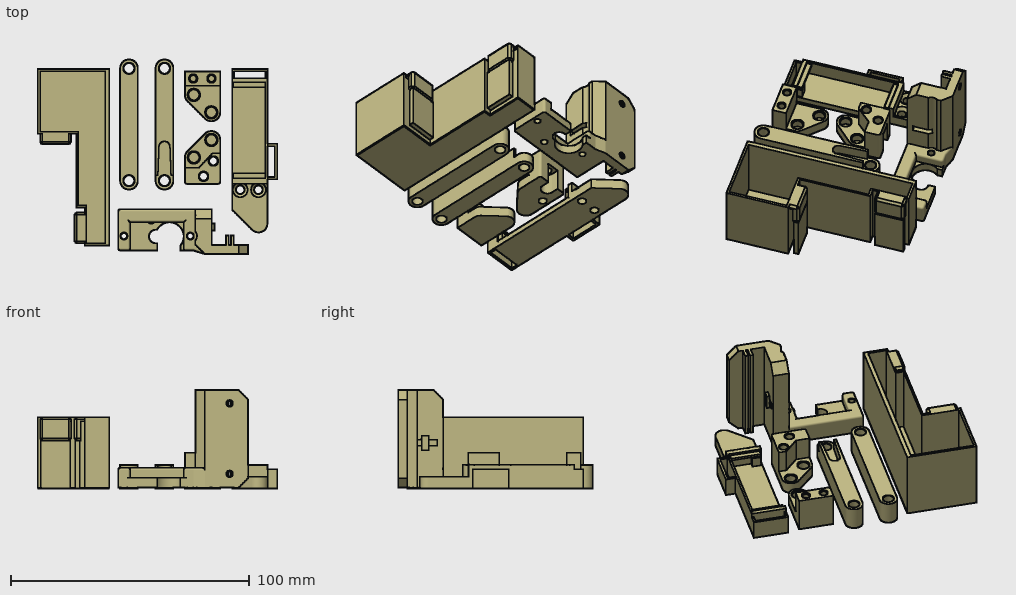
import cadquery as cq
import math

corner_radius = 3.76
part_width = 2 * corner_radius
plate_height = 5
pivot_hole = 4.5
screw_hole = 3.5
diagonal = corner_radius * math.sqrt(0.5)


def block(x0, x1, y0, y1, z0, z1):
    """Axis-aligned block between the given limits."""
    return cq.Workplane("XY").box(x1 - x0, y1 - y0, z1 - z0, centered=False).translate((x0, y0, z0))


def chamfered_bore(x, y, top, bottom, diameter, rim):
    """Cutter for a vertical hole whose top rim is widened by a 45 degree chamfer."""
    radius = diameter / 2
    section = [(0, bottom), (radius, bottom), (radius, top - rim), (radius + rim, top), (0, top)]
    return cq.Workplane("XZ").polyline(section).close().revolve(360, (0, 0), (0, 1)).translate((x, y, 0))


box_height = 30.0
box_right = 30.0
box_front = 3.6
box_back = 77.6
box_step_y = 50.4
box_waist_x = 16.3
box_notch_x = 19.7
box_notch_y = 19.5
box_wall = 1
box_waist_wall = 0.7
box_right_wall = 1.8
box_floor = 1
box_foot_chamfer = 0.3

hook_plate_length = 12.4
hook_plate_height = 20.1
hook_plate_outer = 4
hook_plate_thickness = 2
hook_cap_lip = 0.3
hook_cap_chamfer = 1
hook_cap_gap = 1.7
hook_bridge = 1.7
wide_hook_center_x = 7.5
low_hook_center_y = 11


def make_hook():
    """Hook on a wall at y = 0 that faces -Y, centred on x = 0."""
    plate_half = hook_plate_length / 2
    plate_inner = hook_plate_outer - hook_plate_thickness
    plate = block(-plate_half, plate_half, -hook_plate_outer, -plate_inner, 0, hook_plate_height)
    cap_half = plate_half + hook_cap_lip
    cap = block(-cap_half, cap_half, -hook_plate_outer - hook_cap_lip, 0, hook_plate_height, box_height)
    cap = cap.edges("<Y or (|Y and <X) or (|Y and >X)").chamfer(hook_cap_chamfer)
    gap = block(-cap_half, cap_half, -hook_cap_gap, 0, 0, box_height - hook_bridge)
    return plate.union(cap.cut(gap))


def make_box():
    outline = [
        (0, box_back),
        (box_right, box_back),
        (box_right, box_front),
        (box_notch_x, box_front),
        (box_notch_x, box_notch_y),
        (box_waist_x, box_notch_y),
        (box_waist_x, box_step_y),
        (0, box_step_y),
    ]
    inner_waist_x = box_waist_x + box_waist_wall
    inner_notch_x = box_notch_x + box_waist_wall
    inner_right = box_right - box_right_wall
    cavity_outline = [
        (box_wall, box_back - box_wall),
        (inner_right, box_back - box_wall),
        (inner_right, box_front + box_wall),
        (inner_notch_x, box_front + box_wall),
        (inner_notch_x, box_notch_y + box_wall),
        (inner_waist_x, box_notch_y + box_wall),
        (inner_waist_x, box_step_y + box_wall),
        (box_wall, box_step_y + box_wall),
    ]
    shell = cq.Workplane("XY").polyline(outline).close().extrude(box_height)
    shell = shell.faces("<Z").edges().chamfer(box_foot_chamfer)
    cavity = cq.Workplane("XY").workplane(offset=box_floor).polyline(cavity_outline).close()
    shell = shell.cut(cavity.extrude(box_height))
    wide_hook = make_hook().translate((wide_hook_center_x, box_step_y, 0))
    low_hook = make_hook().rotate((0, 0, 0), (0, 0, 1), -90).translate((box_notch_x, low_hook_center_y, 0))
    return shell.union(wide_hook).union(low_hook)


link_height = 9.9
link_front_y = 30.8
link_back_y = 77.82
link_hole = 4.4
link_hole_rim = 0.2
plain_link_x = 38.2
recessed_link_x = 53.1
recess_floor = link_height / 2
recess_step_y = 33.1
recess_end_y = 45.0
recess_end_radius = 2.3
recess_mouth_width = 5.5


def make_link(x):
    """Bar with rounded ends and a hole at each end."""
    length = link_back_y - link_front_y
    middle_y = (link_back_y + link_front_y) / 2
    link = cq.Workplane("XY").center(x, middle_y).slot2D(length + part_width, part_width, 90)
    link = link.extrude(link_height)
    for y in (link_front_y, link_back_y):
        link = link.cut(chamfered_bore(x, y, link_height, 0, link_hole, link_hole_rim))
    return link


def make_recessed_link():
    """Link with a halved front end and a tapered recess running into its top."""
    x = recessed_link_x
    half_step = block(x - part_width, x + part_width, 0, recess_step_y, recess_floor, link_height)
    recess = (
        cq.Workplane("XY")
        .workplane(offset=recess_floor)
        .moveTo(x - recess_mouth_width / 2, recess_step_y)
        .lineTo(x + recess_mouth_width / 2, recess_step_y)
        .lineTo(x + recess_end_radius, recess_end_y)
        .threePointArc((x, recess_end_y + recess_end_radius), (x - recess_end_radius, recess_end_y))
        .close()
        .extrude(link_height)
    )
    link = make_link(x).cut(half_step).cut(recess)
    return link.cut(chamfered_bore(x, link_front_y, recess_floor, 0, link_hole, link_hole_rim))


bracket_left = 61.6
bracket_width = 14.9
bracket_right = bracket_left + bracket_width
bracket_height = 15.1
pivot_left_x = bracket_left + corner_radius
pivot_right_x = bracket_right - corner_radius
pivot_spacing = pivot_right_x - pivot_left_x
pivot_rim = 0.4
pivot_floor = 1

rear_tip_y = 59.4
rear_block_front = 70.5
rear_block_back = 76.6
rear_screw_y = 73.6
rear_screw_x = (65.1, 72.8)
rear_screw_hole = 2.8
rear_screw_depth = 10

front_tip_y = 47.9
front_block_front = 29.4
front_block_step_y = 36.1
front_block_back = 42.3
front_block_diagonal = ((67.4, front_block_step_y), (73.3, front_block_back))
front_screws = ((73.6, 39.0), (69.4, 32.6))
front_screw_rim = 0.3
front_corner_radius = 1
nut_slot_width = 5.6
nut_slot_height = 10.4


def make_hinge_plate(tip_y, base_y, toward):
    """Plate whose pointed end holds two pivots; `toward` is -1 for a tip at the front, 1 at the back."""
    shoulder_y = tip_y - toward * pivot_spacing
    bulge = corner_radius - diagonal
    half_turn = math.radians(22.5)
    plate = (
        cq.Workplane("XY")
        .moveTo(bracket_left, base_y)
        .lineTo(bracket_left, shoulder_y)
        .threePointArc(
            (
                pivot_left_x - corner_radius * math.cos(half_turn),
                shoulder_y + toward * corner_radius * math.sin(half_turn),
            ),
            (bracket_left + bulge, shoulder_y + toward * diagonal),
        )
        .lineTo(pivot_right_x - diagonal, tip_y + toward * diagonal)
        .threePointArc((pivot_right_x, tip_y + toward * corner_radius), (bracket_right, tip_y))
        .lineTo(bracket_right, base_y)
        .close()
        .extrude(plate_height)
    )
    for x, y in ((pivot_left_x, shoulder_y), (pivot_right_x, tip_y)):
        plate = plate.cut(chamfered_bore(x, y, plate_height, pivot_floor, pivot_hole, pivot_rim))
    return plate


def make_rear_bracket():
    bracket = make_hinge_plate(rear_tip_y, rear_block_back, -1)
    bracket = bracket.union(
        block(bracket_left, bracket_right, rear_block_front, rear_block_back, 0, bracket_height)
    )
    screw_floor = bracket_height - rear_screw_depth
    for x in rear_screw_x:
        bracket = bracket.cut(
            chamfered_bore(x, rear_screw_y, bracket_height, screw_floor, rear_screw_hole, pivot_rim)
        )
    return bracket


def make_front_bracket():
    block_outline = [
        (bracket_left, front_block_front),
        (bracket_right, front_block_front),
        (bracket_right, front_block_back),
        front_block_diagonal[1],
        front_block_diagonal[0],
        (bracket_left, front_block_step_y),
    ]
    tall_block = cq.Workplane("XY").polyline(block_outline).close().extrude(bracket_height)
    bracket = make_hinge_plate(front_tip_y, front_block_front, 1).union(tall_block)
    bracket = bracket.faces("<Y").edges("|Z").fillet(front_corner_radius)
    for x, y in front_screws:
        bracket = bracket.cut(chamfered_bore(x, y, bracket_height, 0, screw_hole, front_screw_rim))
    slot_x, slot_y = front_screws[1]
    slot_radius = nut_slot_width / 2
    slot = block(slot_x - slot_radius, slot_x + slot_radius, 0, slot_y, 0, nut_slot_height)
    slot_end = cq.Workplane("XY").center(slot_x, slot_y).circle(slot_radius).extrude(nut_slot_height)
    slot = slot.intersect(block(0, bracket_right, front_block_front, slot_y, 0, bracket_height))
    return bracket.cut(slot.union(slot_end))


tray_left = 81.4
tray_right = tray_left + bracket_width
tray_front = 29.6
tray_back = 77.6
tray_height = 9.9
tray_wall = 0.9
tray_floor = 3
tray_front_wall = 2.2
window_front = 73.8
window_back = 76.6
rear_wall_front = 72.0
lip_depth = 2.1
lip_top = 9
lip_thickness = 1
lip_left = tray_left + 0.6
post_length = 3.7
post_top = 7.3
tail_tip_y = 12.8
tail_screw_x = (84.8, 92.4)
tail_screw_y = 27.0
countersink_diameter = 6.2
loop_front = 31.3
loop_back = 46.3
loop_right = 100.4
loop_wall = 1.1
loop_height = 8.2


def make_tray_tail():
    """Pointed plate at the front of the tray with two countersunk screw holes."""
    tip_x = tray_right - corner_radius
    knee_y = tail_tip_y - diagonal + (tip_x - diagonal - tray_left)
    tail = (
        cq.Workplane("XY")
        .moveTo(tray_left, tray_front)
        .lineTo(tray_left, knee_y)
        .lineTo(tip_x - diagonal, tail_tip_y - diagonal)
        .threePointArc((tip_x, tail_tip_y - corner_radius), (tray_right, tail_tip_y))
        .lineTo(tray_right, tray_front)
        .close()
        .extrude(plate_height)
    )
    sink = (countersink_diameter - screw_hole) / 2
    for x in tail_screw_x:
        tail = tail.cut(chamfered_bore(x, tail_screw_y, plate_height, 0, screw_hole, sink))
    return tail


def make_tray():
    inner_right = tray_right - tray_wall
    front_wall_back = tray_front + tray_front_wall
    tray = block(tray_left, tray_right, tray_front, tray_back, 0, tray_height)
    tray = tray.cut(block(tray_left, inner_right, front_wall_back, rear_wall_front, tray_floor, tray_height))
    tray = tray.cut(block(tray_left + tray_wall, inner_right, window_front, window_back, 0, tray_height))
    tray = tray.cut(block(tray_left, tray_right, window_front, tray_back, loop_height, tray_height))
    for lip_front in (front_wall_back, rear_wall_front - lip_depth):
        lip_back = lip_front + lip_depth
        lip = block(lip_left, inner_right, lip_front, lip_back, lip_top - lip_thickness, lip_top)
        post = block(lip_left, lip_left + post_length, lip_front, lip_back, tray_floor, post_top)
        tray = tray.union(lip).union(post)
    loop = block(tray_right, loop_right, loop_front, loop_back, 0, loop_height)
    loop_inner_right = loop_right - loop_wall
    loop = loop.cut(
        block(tray_right, loop_inner_right, loop_front + loop_wall, loop_back - loop_wall, 0, loop_height)
    )
    return tray.union(loop).union(make_tray_tail())


holder_left = 33.7
holder_front = 1.5
holder_back = 18.9
holder_bottom = 0.4
rim_height = 8.8
rim_radius = 1
holder_floor = 4.6
well_left = 38.7
well_right = 61.1
well_back = 13.3
rim_screw_x = (36.1, 63.9)
rim_screw_y = 7.6
rim_screw_hole = 2.6
rim_screw_chamfer = 0.2

lens_x = 55.2
lens_y = 7.4
lens_radius = 5.9
lobe_x = 49.5
lobe_radius = 2.8
mouth_left = 50.1
mouth_right = 59.7
relief_x = 47.6
relief_y = 14.2
relief_hole = 2.8

tower_left = 66.0
tower_right = 73.0
tower_height = 41.3
tower_chamfer = 4
wedge_left = 65.2
rim_overlap = 1.7
driver_groove = 5.6
tower_slot_y = (8, 16.4)
tower_slot_z = (18.1, 20.6)
latch_y = (9.8, 12.9)
latch_z = (16.1, 22.1)
latch_depth = 1.1

arm_right = 88.1
arm_depth = 3.9
arm_screw_x = 80.4
arm_screw_z = (6.2, 35.7)
arm_screw_hole = 2
arm_screw_head = 2.8
arm_screw_head_depth = 0.4
rib_length = 4
rib_left = (78.8, 80.9)
rib_width = 1.3


def make_holder_base():
    """Rounded U-shaped rim around a well whose floor has a keyhole-like opening."""
    rim = block(holder_left, tower_left + rim_overlap, holder_front, holder_back, holder_bottom, rim_height)
    rim = rim.cut(block(well_left, well_right, holder_front, well_back, holder_bottom, rim_height))
    rim = rim.edges("|Z and (<X or <Y)").fillet(rim_radius)
    rim = rim.faces(">Z").edges().fillet(rim_radius)
    floor_overlap = rim_radius
    well_floor = block(
        well_left - floor_overlap, well_right + floor_overlap, holder_front, well_back, holder_bottom, holder_floor
    )
    base = rim.union(well_floor)
    opening = cq.Workplane("XY").center(lens_x, lens_y).circle(lens_radius).extrude(holder_floor)
    lobe = cq.Workplane("XY").center(lobe_x, lens_y).circle(lobe_radius).extrude(holder_floor)
    mouth = block(mouth_left, mouth_right, holder_front, lens_y, 0, holder_floor)
    relief = cq.Workplane("XY").center(relief_x, relief_y).circle(relief_hole / 2).extrude(holder_floor)
    base = base.cut(opening.union(lobe).union(mouth)).cut(relief)
    wedge_corners = [
        (wedge_left, holder_front),
        (tower_left + tower_chamfer, 0),
        (tower_left + tower_chamfer, tower_chamfer),
        (wedge_left, tower_chamfer),
    ]
    wedge = cq.Workplane("XY").polyline(wedge_corners).close().extrude(rim_height - holder_bottom)
    wedge = wedge.translate((0, 0, holder_bottom)).faces(">Z").edges("<Y").fillet(rim_radius)
    return base.union(wedge)


def make_tower():
    """Upright column with a screwdriver groove, a cross slot and a latch on its far side."""
    tower = block(tower_left, tower_right, 0, holder_back, holder_bottom, tower_height)
    tower = tower.edges("|Z and <X and <Y").chamfer(tower_chamfer)
    tower = tower.edges("|X and >Z and >Y").chamfer(tower_chamfer)
    groove = cq.Workplane("XY").workplane(offset=rim_height).center(rim_screw_x[1], rim_screw_y)
    tower = tower.cut(groove.circle(driver_groove / 2).extrude(tower_height))
    tower = tower.cut(block(tower_left, tower_right, *tower_slot_y, *tower_slot_z))
    return tower.union(block(tower_right, tower_right + latch_depth, *latch_y, *latch_z))


def make_arm():
    """Flat arm beside the tower with two screw holes and a pair of ribs behind them."""
    arm = block(tower_left + tower_chamfer, arm_right, 0, arm_depth, holder_bottom, tower_height)
    arm = arm.edges("|Y and >X").chamfer(tower_chamfer)
    for z in arm_screw_z:
        for diameter, depth in ((arm_screw_hole, arm_depth), (arm_screw_head, arm_screw_head_depth)):
            hole = cq.Workplane("XZ").center(arm_screw_x, z).circle(diameter / 2).extrude(-depth)
            arm = arm.cut(hole)
    for left in rib_left:
        rib_back = arm_depth + rib_length
        arm = arm.union(block(left, left + rib_width, arm_depth, rib_back, holder_bottom, tower_height))
    return arm


def make_holder():
    holder = make_holder_base().union(make_tower()).union(make_arm())
    for x in rim_screw_x:
        holder = holder.cut(
            chamfered_bore(x, rim_screw_y, rim_height, 0, rim_screw_hole, rim_screw_chamfer)
        )
    return holder


box = make_box()
plain_link = make_link(plain_link_x)
recessed_link = make_recessed_link()
rear_bracket = make_rear_bracket()
front_bracket = make_front_bracket()
tray = make_tray()
holder = make_holder()

result = cq.Compound.makeCompound([
    box.val(),
    plain_link.val(),
    recessed_link.val(),
    rear_bracket.val(),
    front_bracket.val(),
    tray.val(),
    holder.val(),
])